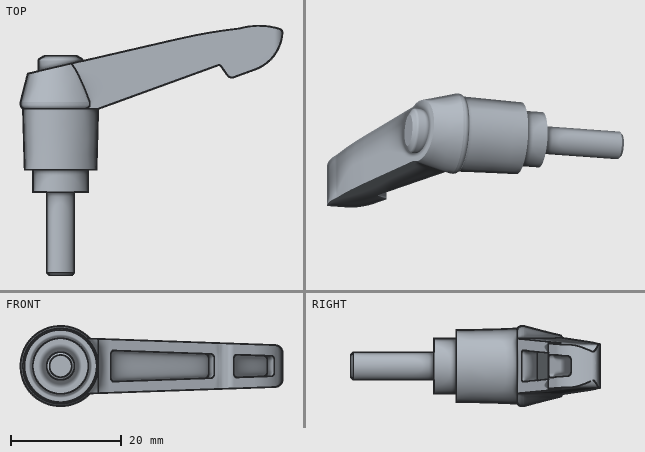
import cadquery as cq
import math


STUD_RADIUS = 2.5
STUD_LENGTH = 15.0
STUD_CHAMFER = 0.5
COLLAR_RADIUS = 5.0
COLLAR_HEIGHT = 4.0

SLEEVE_BOTTOM_RADIUS = 6.5
SLEEVE_TOP_RADIUS = 6.8
HEAD_BOTTOM_Y = 15.0

HEAD_RADIUS = 7.25
HEAD_RIM_ROUND = 0.8
HEAD_BAND_TOP_Y = 16.2
HEAD_CONE_ANGLE = math.radians(14.5)
HEAD_CONE_END_Y = 24.2

BOSS_RADIUS = 4.0
BOSS_TOP_RADIUS = 2.83
BOSS_TOP_Y = 24.6
BOSS_EDGE_ROUND = 0.5
BOSS_CONE_ANGLE = math.radians(30)

ARM_END_X = 40.02
TOP_SLOPE = math.radians(13)
TOP_Y_AT_AXIS = 22.73
TOP_CURVE_START_X = 20.8
TOP_CURVE_MIDDLE = (26.6, 28.71)
TOP_CURVE_END = (32.3, 29.52)
CREST = (36.4, 29.98)
TIP_END_ROUND = 0.8
UNDERSIDE_SLOPE = math.radians(20)
UNDERSIDE_START_X = 6.8
STEP_X = 28.7
STEP_HEIGHT = 3.0
STEP_WALL_ANGLE = math.radians(55)
STEP_INNER_ROUND = 0.45
STEP_OUTER_ROUND = 1.0
TIP_FLAT_END_X = 35.0

ARM_HALF_WIDTH_AT_AXIS = 5.15
ARM_SIDE_TAPER = math.radians(2)
ARM_END_ROUND = 1.5

POCKET_WALL = 2.0
POCKET_CORNER_ROUND = 0.8
LONG_POCKET_START_X = 9.0
LONG_POCKET_END_X = 27.7
LONG_POCKET_DEPTH = 3.0
TIP_POCKET_START_X = 30.15
TIP_POCKET_END_X = 37.95
TIP_POCKET_DEPTH = 2.0

MARGIN = 5.0


def top_line_y(x):
    """Height of the sloping top face of head and arm."""
    return TOP_Y_AT_AXIS + x * math.tan(TOP_SLOPE)


def underside_y(x):
    """Height of the arm's sloping underside."""
    return HEAD_BOTTOM_Y + (x - UNDERSIDE_START_X) * math.tan(UNDERSIDE_SLOPE)


def tip_flat_y(x):
    """Height of the lower flat beyond the step, parallel to the underside."""
    return underside_y(x) - STEP_HEIGHT / math.cos(UNDERSIDE_SLOPE)


def arm_half_width(x):
    return ARM_HALF_WIDTH_AT_AXIS - x * math.tan(ARM_SIDE_TAPER)


def turned(profile):
    return profile.close().revolve(360, (0, 0, 0), (0, 1, 0))


def make_stud_and_sleeve():
    profile = (
        cq.Workplane("XY")
        .moveTo(0, -STUD_LENGTH)
        .lineTo(STUD_RADIUS - STUD_CHAMFER, -STUD_LENGTH)
        .lineTo(STUD_RADIUS, -STUD_LENGTH + STUD_CHAMFER)
        .lineTo(STUD_RADIUS, 0)
        .lineTo(COLLAR_RADIUS, 0)
        .lineTo(COLLAR_RADIUS, COLLAR_HEIGHT)
        .lineTo(SLEEVE_BOTTOM_RADIUS, COLLAR_HEIGHT)
        .lineTo(SLEEVE_TOP_RADIUS, HEAD_BOTTOM_Y)
        .lineTo(0, HEAD_BOTTOM_Y)
    )
    return turned(profile)


def make_head():
    cone_height = HEAD_CONE_END_Y - HEAD_BAND_TOP_Y
    cone_end_radius = HEAD_RADIUS - cone_height * math.tan(HEAD_CONE_ANGLE)
    profile = (
        cq.Workplane("XY")
        .moveTo(0, HEAD_BOTTOM_Y)
        .lineTo(HEAD_RADIUS - HEAD_RIM_ROUND, HEAD_BOTTOM_Y)
        .radiusArc((HEAD_RADIUS, HEAD_BOTTOM_Y + HEAD_RIM_ROUND), -HEAD_RIM_ROUND)
        .lineTo(HEAD_RADIUS, HEAD_BAND_TOP_Y)
        .lineTo(cone_end_radius, HEAD_CONE_END_Y)
        .lineTo(0, HEAD_CONE_END_Y)
    )
    below_top_face = (
        cq.Workplane("XY")
        .moveTo(-HEAD_RADIUS, 0)
        .lineTo(HEAD_RADIUS, 0)
        .lineTo(HEAD_RADIUS, top_line_y(HEAD_RADIUS))
        .lineTo(-HEAD_RADIUS, top_line_y(-HEAD_RADIUS))
        .close()
        .extrude(HEAD_RADIUS, both=True)
    )
    return turned(profile).intersect(below_top_face)


def make_boss():
    cone_foot_radius = BOSS_RADIUS - BOSS_EDGE_ROUND * (1 - math.sin(BOSS_CONE_ANGLE))
    cone_foot_y = BOSS_TOP_Y - (cone_foot_radius - BOSS_TOP_RADIUS) * math.tan(BOSS_CONE_ANGLE)
    round_start_y = cone_foot_y - BOSS_EDGE_ROUND * math.cos(BOSS_CONE_ANGLE)
    profile = (
        cq.Workplane("XY")
        .moveTo(0, HEAD_BOTTOM_Y)
        .lineTo(BOSS_RADIUS, HEAD_BOTTOM_Y)
        .lineTo(BOSS_RADIUS, round_start_y)
        .radiusArc((cone_foot_radius, cone_foot_y), -BOSS_EDGE_ROUND)
        .lineTo(BOSS_TOP_RADIUS, BOSS_TOP_Y)
        .lineTo(0, BOSS_TOP_Y)
    )
    return turned(profile)


def make_arm():
    step_vertical = underside_y(STEP_X) - tip_flat_y(STEP_X)
    step_run = step_vertical / (math.tan(STEP_WALL_ANGLE) + math.tan(UNDERSIDE_SLOPE))
    step_foot_x = STEP_X + step_run

    tip_radius = (ARM_END_X - TIP_FLAT_END_X) / (1 - math.sin(UNDERSIDE_SLOPE))
    tip_center_x = ARM_END_X - tip_radius
    tip_center_y = tip_flat_y(TIP_FLAT_END_X) + tip_radius * math.cos(UNDERSIDE_SLOPE)
    tip_end = (ARM_END_X, tip_center_y)
    tip_middle_angle = (math.pi / 2 - UNDERSIDE_SLOPE) / 2
    tip_middle = (
        tip_center_x + tip_radius * math.cos(tip_middle_angle),
        tip_center_y - tip_radius * math.sin(tip_middle_angle),
    )

    body = (
        cq.Workplane("XY")
        .moveTo(0, HEAD_BOTTOM_Y)
        .lineTo(UNDERSIDE_START_X, HEAD_BOTTOM_Y)
        .lineTo(STEP_X, underside_y(STEP_X))
        .lineTo(step_foot_x, tip_flat_y(step_foot_x))
        .lineTo(TIP_FLAT_END_X, tip_flat_y(TIP_FLAT_END_X))
        .threePointArc(tip_middle, tip_end)
        .threePointArc(CREST, TOP_CURVE_END)
        .threePointArc(TOP_CURVE_MIDDLE, (TOP_CURVE_START_X, top_line_y(TOP_CURVE_START_X)))
        .lineTo(0, top_line_y(0))
        .close()
        .extrude(HEAD_RADIUS, both=True)
    )
    rounded_corners = (
        ((STEP_X, underside_y(STEP_X)), STEP_INNER_ROUND),
        ((step_foot_x, tip_flat_y(step_foot_x)), STEP_OUTER_ROUND),
        (tip_end, TIP_END_ROUND),
    )
    for (x, y), radius in rounded_corners:
        body = body.edges(cq.selectors.NearestToPointSelector((x, y, 0))).fillet(radius)
    return body.intersect(make_arm_plan())


def make_arm_plan():
    """Tapered plan of the arm with rounded end corners, as a tall prism along Y."""
    root = arm_half_width(0)
    end = arm_half_width(ARM_END_X)
    return (
        cq.Workplane("XZ")
        .polyline([(0, -root), (ARM_END_X, -end), (ARM_END_X, end), (0, root)])
        .close()
        .extrude(-(CREST[1] + MARGIN))
        .edges("|Y and >X")
        .fillet(ARM_END_ROUND)
    )


def make_pocket(start_x, end_x, depth):
    """Tapered pocket square to the underside; start, end and depth are measured on that face."""
    underside = cq.Plane(
        origin=(UNDERSIDE_START_X, HEAD_BOTTOM_Y, 0),
        xDir=(math.cos(UNDERSIDE_SLOPE), math.sin(UNDERSIDE_SLOPE), 0),
        normal=(-math.sin(UNDERSIDE_SLOPE), math.cos(UNDERSIDE_SLOPE), 0),
    )
    start = (start_x - UNDERSIDE_START_X) / math.cos(UNDERSIDE_SLOPE)
    end = (end_x - UNDERSIDE_START_X) / math.cos(UNDERSIDE_SLOPE)
    start_half = arm_half_width(start_x) - POCKET_WALL
    end_half = arm_half_width(end_x) - POCKET_WALL
    below = STEP_HEIGHT + MARGIN
    return (
        cq.Workplane(underside)
        .workplane(offset=-below)
        .polyline([(start, -start_half), (end, -end_half), (end, end_half), (start, start_half)])
        .close()
        .extrude(below + depth)
        .edges(cq.selectors.ParallelDirSelector(underside.zDir))
        .fillet(POCKET_CORNER_ROUND)
    )


arm = make_arm()
arm = arm.cut(make_pocket(LONG_POCKET_START_X, LONG_POCKET_END_X, LONG_POCKET_DEPTH))
arm = arm.cut(make_pocket(TIP_POCKET_START_X, TIP_POCKET_END_X, TIP_POCKET_DEPTH))

result = make_stud_and_sleeve().union(make_head()).union(make_boss()).union(arm)